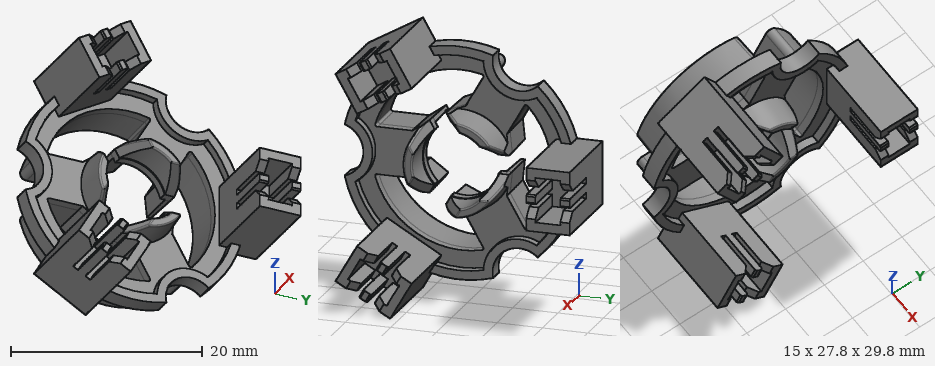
import cadquery as cq
import math

SECTORS = 3
SECTOR_ANGLE = 360 / SECTORS

WALL_HEIGHT = 4.4
RIM_DEPTH = 2.0
PLATE_THICKNESS = 1.0
LIP_HEIGHT = 3.5
TOTAL_LENGTH = 15.0
plate_front = WALL_HEIGHT
plate_back = plate_front + PLATE_THICKNESS
rim_back = plate_front + RIM_DEPTH
lip_end = plate_back + LIP_HEIGHT

PLATE_RADIUS = 12.9
BORE_RADIUS = 4.2
NOTCH_CENTRE = 13.48
NOTCH_RADIUS = 2.98
RIM_THICKNESS = 1.0

WINDOW_RADIUS = 9.95
SPOKE_HALF_WIDTH = 2.63
APEX_RADIAL = 5.35
ARM_LEAN = 5.8
WALL_THICKNESS = 0.6
DRAFT = 1.0
WALL_ROUNDING = 0.72
WINDOW_ROUNDING = 0.25
SLOT_HALF_WIDTH = 1.05
SLOT_REACH = 6.55

LIP_INNER_RADIUS = 4.3
LIP_BASE_RADIUS = 5.65
LIP_END_RADIUS = 5.25
LIP_GAP_END = 2.98
LIP_ROUNDING = 0.18

BLOCK_WIDTH = 6.95
BLOCK_INNER = 10.45
BLOCK_OUTER = 15.2
BLOCK_WALL = 1.0
FINGER_START = 9.6
TONGUE_HALF_WIDTH = 0.5
TONGUE_CHAMFER = 0.18
FINGER_GAP = 0.63
MOUTH_CHAMFER = 0.98


def repeat(shape, start=0.0):
    """Copies of a solid in every sector, turned about the X axis."""
    copies = cq.Workplane("YZ")
    for index in range(SECTORS):
        copies = copies.add(shape.rotate((0, 0, 0), (1, 0, 0), start + index * SECTOR_ANGLE).vals())
    return copies.combine()


def window_prism(start, length, growth, taper, rounding):
    """Prism from X = `start`: an arc, two edges along the spokes and two arms meeting on the Y axis.

    The outline is grown outward by `growth`, and its two outer corners are rounded.
    """
    half_sector = math.radians(SECTOR_ANGLE / 2)
    lean = math.radians(ARM_LEAN)
    radius = WINDOW_RADIUS + growth
    spoke_offset = SPOKE_HALF_WIDTH - growth
    apex = APEX_RADIAL - growth / math.cos(lean)
    bend_z = (apex * math.sin(half_sector) - spoke_offset) / (
        math.cos(half_sector) + math.tan(lean) * math.sin(half_sector)
    )
    bend_y = apex - bend_z * math.tan(lean)
    corner_angle = half_sector - math.asin(spoke_offset / radius)
    corner_y = radius * math.cos(corner_angle)
    corner_z = radius * math.sin(corner_angle)
    return (
        cq.Workplane("YZ", origin=(start, 0, 0))
        .moveTo(apex, 0)
        .lineTo(bend_y, bend_z)
        .lineTo(corner_y, corner_z)
        .threePointArc((radius, 0), (corner_y, -corner_z))
        .lineTo(bend_y, -bend_z)
        .close()
        .extrude(length, taper=taper)
        .edges(">Z or <Z")
        .fillet(rounding)
    )


def slot_prism(length, taper):
    """Slot on the plate front, from the axis into the window."""
    return (
        cq.Workplane("YZ", origin=(plate_front, 0, 0))
        .center(SLOT_REACH / 2, 0)
        .rect(SLOT_REACH, 2 * SLOT_HALF_WIDTH)
        .extrude(length, taper=taper)
    )


def disc(start, end, radius, centre=0.0):
    return cq.Workplane("YZ", origin=(start, 0, 0)).center(centre, 0).circle(radius).extrude(end - start)


def ring_plate():
    """Plate with a deeper rim that follows the outer edge and the notches."""
    notch_angle = SECTOR_ANGLE / 2
    notch_wall = disc(plate_back, rim_back, NOTCH_RADIUS + RIM_THICKNESS, NOTCH_CENTRE)
    recess = disc(plate_back, rim_back, PLATE_RADIUS - RIM_THICKNESS).cut(repeat(notch_wall, notch_angle))
    notch = disc(plate_front, rim_back, NOTCH_RADIUS, NOTCH_CENTRE)
    return (
        disc(plate_front, rim_back, PLATE_RADIUS)
        .cut(recess)
        .cut(disc(plate_front, plate_back, BORE_RADIUS))
        .cut(repeat(notch, notch_angle))
        .cut(repeat(window_prism(plate_front, PLATE_THICKNESS, 0, 0, WINDOW_ROUNDING)))
        .cut(repeat(slot_prism(PLATE_THICKNESS, 0)))
    )


def window_wall():
    """Wall in front of the plate: thinner toward its free edge, open at the slot."""
    outside = window_prism(plate_front, -WALL_HEIGHT, WALL_THICKNESS, DRAFT, WALL_ROUNDING)
    widening = WALL_HEIGHT * math.tan(math.radians(DRAFT))
    inside = window_prism(0, WALL_HEIGHT, widening, DRAFT, WINDOW_ROUNDING)
    return outside.cut(inside).cut(slot_prism(-WALL_HEIGHT, -DRAFT))


def snap_lips():
    """Conical ring behind the plate, split by gaps that widen toward its free end."""
    ring = (
        cq.Workplane("XY")
        .polyline([
            (plate_back, LIP_INNER_RADIUS),
            (plate_back, LIP_BASE_RADIUS),
            (lip_end, LIP_END_RADIUS),
            (lip_end, LIP_INNER_RADIUS),
        ])
        .close()
        .revolve(360, (0, 0, 0), (1, 0, 0))
    )
    gap = (
        cq.Workplane("XZ")
        .polyline([
            (plate_back, -SLOT_HALF_WIDTH),
            (lip_end, -LIP_GAP_END),
            (lip_end, LIP_GAP_END),
            (plate_back, SLOT_HALF_WIDTH),
        ])
        .close()
        .extrude(-SLOT_REACH)
    )
    split = ring.cut(repeat(gap))
    above_plate = cq.selectors.BoxSelector(
        (plate_back + LIP_ROUNDING, -PLATE_RADIUS, -PLATE_RADIUS),
        (lip_end + LIP_ROUNDING, PLATE_RADIUS, PLATE_RADIUS),
    )
    outer_edges = split.faces("%CONE").edges(above_plate)
    rounded = outer_edges.add(split.faces(">X").edges()).fillet(LIP_ROUNDING)
    return rounded.cut(repeat(window_prism(plate_back, LIP_HEIGHT, 0, 0, WINDOW_ROUNDING)))


def finger_block():
    """Block hollowed from its +X end; both radial walls are slotted into a tongue and two fingers."""
    depth = BLOCK_OUTER - BLOCK_INNER
    middle = (BLOCK_INNER + BLOCK_OUTER) / 2
    block = (
        cq.Workplane("YZ", origin=(plate_front, 0, 0))
        .center(middle, 0)
        .rect(depth, BLOCK_WIDTH)
        .extrude(TOTAL_LENGTH - plate_front)
    )
    pocket = (
        cq.Workplane("YZ", origin=(FINGER_START, 0, 0))
        .center(middle, 0)
        .rect(depth - 2 * BLOCK_WALL, BLOCK_WIDTH - 2 * BLOCK_WALL)
        .extrude(TOTAL_LENGTH - FINGER_START)
    )
    gap_outer = TONGUE_HALF_WIDTH + FINGER_GAP
    gap = (
        cq.Workplane("XZ", origin=(0, BLOCK_INNER, 0))
        .moveTo(FINGER_START, TONGUE_HALF_WIDTH)
        .lineTo(TOTAL_LENGTH - TONGUE_CHAMFER, TONGUE_HALF_WIDTH)
        .lineTo(TOTAL_LENGTH, TONGUE_HALF_WIDTH - TONGUE_CHAMFER)
        .lineTo(TOTAL_LENGTH, gap_outer + MOUTH_CHAMFER)
        .lineTo(TOTAL_LENGTH - MOUTH_CHAMFER, gap_outer)
        .lineTo(FINGER_START, gap_outer)
        .close()
        .extrude(-depth)
    )
    return block.cut(pocket).cut(gap).cut(gap.mirror("XY"))


result = (
    ring_plate()
    .union(repeat(window_wall()))
    .union(snap_lips())
    .union(repeat(finger_block()))
)